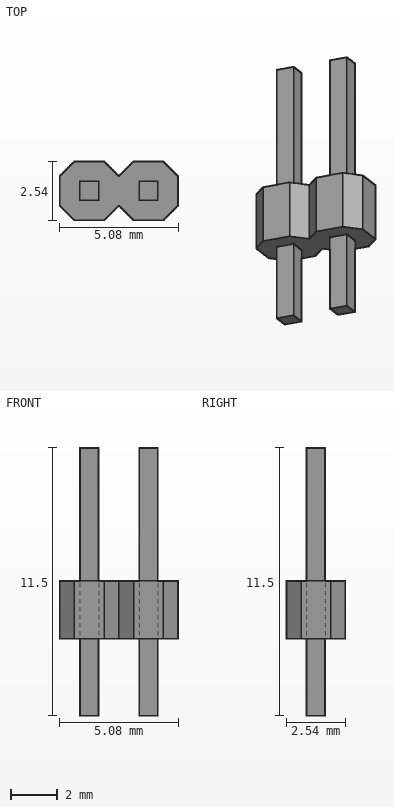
import cadquery as cq

pin_count = 2
pitch = 2.54
pin_length = 11.5
pin_side = 0.8
housing_height = 2.5
tail_length = 3.3

corner_chamfer = pitch / 4
pin_positions = [(i - (pin_count - 1) / 2) * pitch for i in range(pin_count)]


def make_cell(x):
    """One octagonal housing cell, centred on the pin at x."""
    return (
        cq.Workplane("XY")
        .center(x, 0)
        .rect(pitch, pitch)
        .extrude(housing_height)
        .edges("|Z")
        .chamfer(corner_chamfer)
    )


def make_pin(x):
    """One straight square pin, running through the housing at x."""
    return (
        cq.Workplane("XY", origin=(x, 0, -tail_length))
        .rect(pin_side, pin_side)
        .extrude(pin_length)
    )


def make_housing(pins):
    """Row of joined cells with a matching through hole for each pin."""
    housing = make_cell(pin_positions[0])
    for x in pin_positions[1:]:
        housing = housing.union(make_cell(x))
    for pin in pins:
        housing = housing.cut(pin)
    return housing


pins = [make_pin(x) for x in pin_positions]
housing = make_housing(pins)

result = cq.Compound.makeCompound([housing.solids().val(), *[pin.val() for pin in pins]])